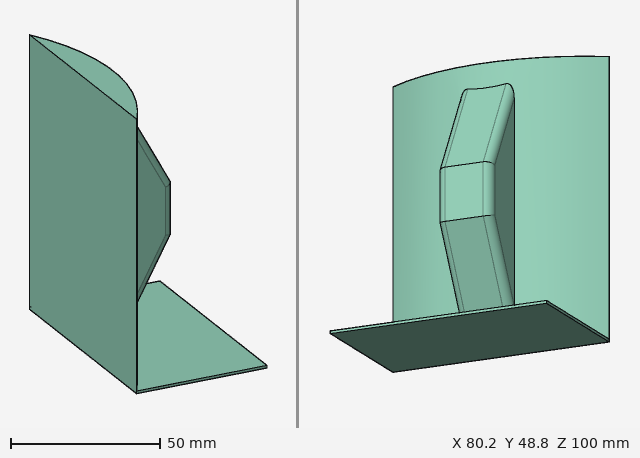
import cadquery as cq

width = 80.2
depth = 48.8
height = 100.0
base_thickness = 1.0

bulge_depth = 11.4

handle_width = 20.0
handle_reach = 28.8
handle_root = 8.0
handle_middle = 50.0
handle_tip_height = 19.0
handle_slope = 1.82
handle_round = 2.9


def make_base():
    """Thin rectangular foot plate, its front edge on Y = 0."""
    return cq.Workplane("XY").box(width, depth, base_thickness, centered=(True, False, False))


def make_upright():
    """Full-height slab, flat in front and arched behind."""
    return (
        cq.Workplane("XY")
        .moveTo(-width / 2, 0)
        .threePointArc((0, bulge_depth), (width / 2, 0))
        .close()
        .extrude(height)
    )


def make_handle():
    """Trapezoid standing out of the arch, rooted inside the upright."""
    half_tip = handle_tip_height / 2
    half_root = half_tip + handle_slope * (handle_reach - handle_root)
    return (
        cq.Workplane("YZ")
        .polyline([
            (handle_root, handle_middle - half_root),
            (handle_reach, handle_middle - half_tip),
            (handle_reach, handle_middle + half_tip),
            (handle_root, handle_middle + half_root),
        ])
        .close()
        .extrude(handle_width / 2, both=True)
        .faces("<X or >X")
        .edges("not <Y")
        .fillet(handle_round)
    )


result = make_base().union(make_upright()).union(make_handle())